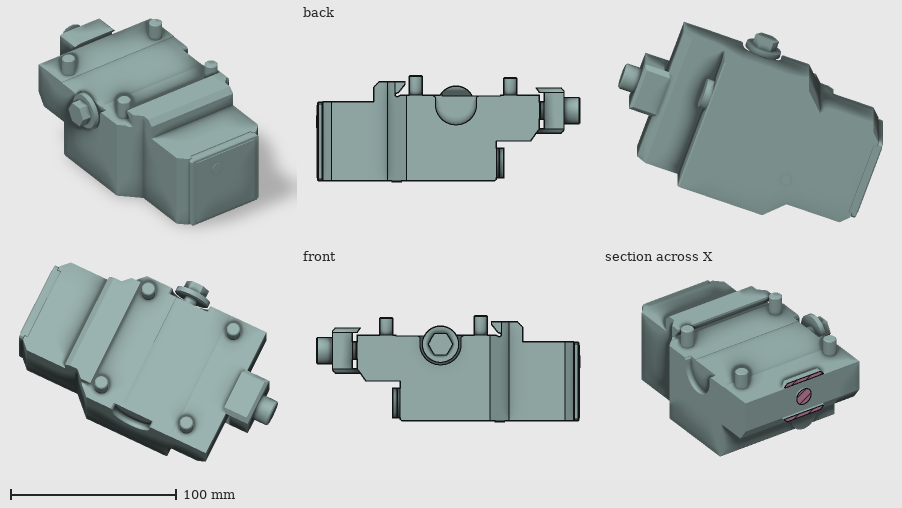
import cadquery as cq
import math


BODY_HALF_WIDTH = 42.0
BODY_TOP = 51.8
BODY_BOTTOM_CHAMFER = 1.0
NOSE_FACE_BOTTOM = 31.6
NOSE_BOTTOM = 24.0
NOSE_CHAMFER_LENGTH = 5.3
STEP_X = 26.0
RELIEF_START = 23.5
RELIEF_END = 58.6
RELIEF_DEPTH = 0.4

HOUSING_HALF_WIDTH = 30.5
HOUSING_START = 91.8
HOUSING_END = 130.9
HOUSING_TOP = 48.0
HOUSING_CORNER_CHAMFER = 5.1

HOOK_HALF_WIDTH = 35.0
HOOK_TIP_X = 81.1
HOOK_TIP_BOTTOM = 58.5
HOOK_SLOPE_END_X = 85.1
HOOK_SLOPE_END_Z = 53.4
HOOK_TOP = 60.0
HOOK_END = 100.2
HOOK_CHAMFER = 3.4
GROOVE_DIAMETER = 2.1
GROOVE_X = 86.0
GROOVE_Z = 52.05
GROOVE_RAMP_ANGLE = 25.0

PIN_DIAMETER = 8.0
PIN_CHAMFER = 0.6
PIN_Y = 32.5
PIN_TOPS = {17.6: 62.6, 74.75: 63.74}

POCKET_X = 50.4
POCKET_Z = 46.4
POCKET_DIAMETER = 25.0
POCKET_DEPTH = 4.0
POCKET_MOUTH_CHAMFER = 1.0
NECK_DIAMETER = 8.0
NECK_LENGTH = 3.0
NECK_WAIST_DIAMETER = 7.0
FLANGE_DIAMETER = 22.0
FLANGE_THICKNESS = 3.0
HEX_ACROSS_CORNERS = 15.0
HEX_HEIGHT = 6.0

CLAMP_LEFT = -15.0
CLAMP_INNER_X = -2.9
CLAMP_HALF_WIDTH = 15.0
CLAMP_LEFT_CHAMFER = 2.0
CLAMP_CORNER_CHAMFER = 2.7
LIP_HEIGHT = 2.9
LIP_OVERHANG = LIP_HEIGHT * NOSE_CHAMFER_LENGTH / (NOSE_FACE_BOTTOM - NOSE_BOTTOM)
CLAMP_Z = 42.5
CLAMP_HALF_INNER = CLAMP_Z - NOSE_FACE_BOTTOM
CLAMP_HALF_HEIGHT = CLAMP_HALF_INNER + LIP_HEIGHT
SCREW_HEAD_DIAMETER = 16.0
SCREW_HEAD_HEIGHT = 9.65
SCREW_HEAD_CHAMFER = 0.8
STUD_COLLAR_DIAMETER = 11.0
STUD_DIAMETER = 10.0
STUD_COLLAR_END = -0.8

PLUG_DIAMETER = 18.0
PLUG_LENGTH = 4.5
PLUG_Y = -16.0
PLUG_Z = 10.8
PLUG_GROOVE_OFFSET = 1.6
PLUG_GROOVE_WIDTH = 0.4
PLUG_GROOVE_DEPTH = 0.2
BUTTON_DIAMETER = 5.7
BUTTON_HEIGHT = 0.5
BUTTON_X = 86.3
BUTTON_Y = 15.8

COVER_TOP = 47.6
COVER_HALF_WIDTH = 25.0
COVER_CORNER_CHAMFER = 1.2
COVER_BACK = 131.3
COVER_FACE = 134.0
COVER_FACE_CHAMFER = 0.5
PANEL_HALF_WIDTH = 21.5
PANEL_INSET_Z = 2.1
PANEL_FACE = 134.5
TONGUE_HALF_WIDTH = 22.5
TONGUE_START = 129.1
TONGUE_GAP = 0.3
TONGUE_GAP_DEPTH = 1.0
KNOB_DIAMETER = 7.0
KNOB_FACE = 134.8
KNOB_Y = -6.8
KNOB_Z = 35.8


def box(x_range, y_range, z_range):
    """Box between the given pairs of limits."""
    sizes = [high - low for low, high in (x_range, y_range, z_range)]
    corner = (x_range[0], y_range[0], z_range[0])
    return cq.Workplane("XY").box(*sizes, centered=False).translate(corner)


def disc_x(diameter, start, end, y, z):
    """Cylinder along X between two X positions."""
    plane = cq.Workplane("YZ", origin=(start, y, z))
    return plane.circle(diameter / 2).extrude(end - start)


def side_profile(points, half_width):
    """Closed XZ outline extruded symmetrically about Y = 0."""
    return cq.Workplane("XZ").polyline(points).close().extrude(half_width, both=True)


def make_body():
    """Body, hook and housing within one common plan outline."""
    body = side_profile(
        [
            (0, BODY_TOP),
            (0, NOSE_FACE_BOTTOM),
            (NOSE_CHAMFER_LENGTH, NOSE_BOTTOM),
            (STEP_X, NOSE_BOTTOM),
            (STEP_X, BODY_BOTTOM_CHAMFER),
            (STEP_X + BODY_BOTTOM_CHAMFER, 0),
            (HOUSING_END, 0),
            (HOUSING_END, HOUSING_TOP),
            (HOOK_END, HOUSING_TOP),
            (HOOK_END, BODY_TOP),
        ],
        BODY_HALF_WIDTH,
    )
    hook = side_profile(
        [
            (HOOK_TIP_X, HOOK_TOP),
            (HOOK_TIP_X, HOOK_TIP_BOTTOM),
            (HOOK_SLOPE_END_X, HOOK_SLOPE_END_Z),
            (GROOVE_X, GROOVE_Z + GROOVE_DIAMETER / 2),
            (GROOVE_X, HOUSING_TOP),
            (HOOK_END, HOUSING_TOP),
            (HOOK_END, HOOK_TOP - HOOK_CHAMFER),
            (HOOK_END - HOOK_CHAMFER, HOOK_TOP),
        ],
        HOOK_HALF_WIDTH,
    )
    body = body.union(hook)

    flare_start = HOUSING_START - (BODY_HALF_WIDTH - HOUSING_HALF_WIDTH)
    corner_x = HOUSING_END - HOUSING_CORNER_CHAMFER
    end_half_width = HOUSING_HALF_WIDTH - HOUSING_CORNER_CHAMFER
    upper_edge = [
        (0, BODY_HALF_WIDTH),
        (flare_start, BODY_HALF_WIDTH),
        (HOUSING_START, HOUSING_HALF_WIDTH),
        (corner_x, HOUSING_HALF_WIDTH),
        (HOUSING_END, end_half_width),
    ]
    lower_edge = [(x, -y) for x, y in reversed(upper_edge)]
    plan = cq.Workplane("XY").polyline(upper_edge + lower_edge).close().extrude(HOOK_TOP)
    return body.intersect(plan)


def make_hook_groove():
    """Round-bottomed relief at the hook root with a ramp leading tangentially into it."""
    groove = (
        cq.Workplane("XZ")
        .center(GROOVE_X, GROOVE_Z)
        .circle(GROOVE_DIAMETER / 2)
        .extrude(BODY_HALF_WIDTH, both=True)
    )
    angle = math.radians(GROOVE_RAMP_ANGLE)
    tangent_x = GROOVE_X - GROOVE_DIAMETER / 2 * math.sin(angle)
    tangent_z = GROOVE_Z - GROOVE_DIAMETER / 2 * math.cos(angle)
    ramp_start = tangent_x - (BODY_TOP - tangent_z) / math.tan(angle)
    ramp = side_profile(
        [
            (ramp_start, BODY_TOP),
            (tangent_x, tangent_z),
            (GROOVE_X, BODY_TOP),
        ],
        BODY_HALF_WIDTH,
    )
    return groove.union(ramp)


def make_top_relief():
    """Shallow channel across the top face."""
    return box(
        (RELIEF_START, RELIEF_END),
        (-BODY_HALF_WIDTH, BODY_HALF_WIDTH),
        (BODY_TOP - RELIEF_DEPTH, BODY_TOP),
    )


def make_side_pocket(side):
    """U-shaped pocket in one side face, open at the top with a chamfered mouth."""
    radius = POCKET_DIAMETER / 2
    mouth = radius + POCKET_MOUTH_CHAMFER
    shoulder = BODY_TOP - RELIEF_DEPTH - POCKET_MOUTH_CHAMFER
    rim = BODY_TOP - RELIEF_DEPTH
    pocket = (
        cq.Workplane("XZ", origin=(POCKET_X, 0, 0))
        .moveTo(-radius, POCKET_Z)
        .threePointArc((0, POCKET_Z - radius), (radius, POCKET_Z))
        .lineTo(radius, shoulder)
        .lineTo(mouth, rim)
        .lineTo(mouth, BODY_TOP)
        .lineTo(-mouth, BODY_TOP)
        .lineTo(-mouth, rim)
        .lineTo(-radius, shoulder)
        .close()
        .extrude(POCKET_DEPTH / 2, both=True)
    )
    return pocket.translate((0, side * (BODY_HALF_WIDTH - POCKET_DEPTH / 2), 0))


def make_hex_screw():
    """Flanged hexagon screw in the -Y pocket, its neck flaring from a waist to the flange."""
    pocket_floor = POCKET_DEPTH - BODY_HALF_WIDTH
    waist_y = pocket_floor - NECK_LENGTH
    neck = (
        cq.Workplane("XY", origin=(POCKET_X, 0, POCKET_Z))
        .moveTo(0, pocket_floor)
        .lineTo(NECK_DIAMETER / 2, pocket_floor)
        .lineTo(NECK_DIAMETER / 2, waist_y)
        .lineTo(NECK_WAIST_DIAMETER / 2, waist_y)
        .lineTo(NECK_DIAMETER / 2, -BODY_HALF_WIDTH)
        .lineTo(0, -BODY_HALF_WIDTH)
        .close()
        .revolve(360, (0, 0, 0), (0, 1, 0))
    )
    head = (
        cq.Workplane("XZ", origin=(POCKET_X, -BODY_HALF_WIDTH, POCKET_Z))
        .circle(FLANGE_DIAMETER / 2)
        .extrude(FLANGE_THICKNESS)
        .faces("<Y")
        .workplane()
        .polygon(6, HEX_ACROSS_CORNERS)
        .extrude(HEX_HEIGHT)
    )
    return neck.union(head)


def make_pin(x, y, top):
    """Locating pin with a chamfered tip."""
    pin = cq.Workplane("XY", origin=(x, y, HOUSING_TOP)).circle(PIN_DIAMETER / 2)
    return pin.extrude(top - HOUSING_TOP).faces(">Z").chamfer(PIN_CHAMFER)


def make_clamp():
    """C-shaped clamp block with its screw head and stud."""
    chamfer_height = CLAMP_HALF_HEIGHT - CLAMP_LEFT_CHAMFER
    upper_outline = [
        (CLAMP_LEFT, chamfer_height),
        (CLAMP_LEFT + CLAMP_LEFT_CHAMFER, CLAMP_HALF_HEIGHT),
        (LIP_OVERHANG, CLAMP_HALF_HEIGHT),
        (0, CLAMP_HALF_INNER),
        (CLAMP_INNER_X, CLAMP_HALF_INNER),
    ]
    lower_outline = [(x, -z) for x, z in reversed(upper_outline)]
    block = side_profile(upper_outline + lower_outline, CLAMP_HALF_WIDTH)
    envelope = box(
        (CLAMP_LEFT, LIP_OVERHANG),
        (-CLAMP_HALF_WIDTH, CLAMP_HALF_WIDTH),
        (-CLAMP_HALF_HEIGHT, CLAMP_HALF_HEIGHT),
    )
    envelope = envelope.edges("|X").chamfer(CLAMP_CORNER_CHAMFER)
    block = block.intersect(envelope).translate((0, 0, CLAMP_Z))

    head = disc_x(SCREW_HEAD_DIAMETER, CLAMP_LEFT - SCREW_HEAD_HEIGHT, CLAMP_LEFT, 0, CLAMP_Z)
    head = head.faces("<X").chamfer(SCREW_HEAD_CHAMFER)
    collar = disc_x(STUD_COLLAR_DIAMETER, CLAMP_INNER_X, STUD_COLLAR_END, 0, CLAMP_Z)
    stud = disc_x(STUD_DIAMETER, STUD_COLLAR_END, 0, 0, CLAMP_Z)
    return block.union(head).union(collar).union(stud)


def make_plug():
    """Round plug on the step face with a thin groove around it."""
    start = STEP_X - PLUG_LENGTH
    groove_end = STEP_X - PLUG_GROOVE_OFFSET
    groove_start = groove_end - PLUG_GROOVE_WIDTH
    core_diameter = PLUG_DIAMETER - 2 * PLUG_GROOVE_DEPTH
    cap = disc_x(PLUG_DIAMETER, start, groove_start, PLUG_Y, PLUG_Z)
    core = disc_x(core_diameter, groove_start, groove_end, PLUG_Y, PLUG_Z)
    seat = disc_x(PLUG_DIAMETER, groove_end, STEP_X, PLUG_Y, PLUG_Z)
    return cap.union(core).union(seat)


def make_button():
    """Low round button under the base."""
    button = cq.Workplane("XY", origin=(BUTTON_X, BUTTON_Y, -BUTTON_HEIGHT))
    return button.circle(BUTTON_DIAMETER / 2).extrude(BUTTON_HEIGHT)


def make_tongue_recess():
    """Recess in the housing end that takes the cover tongue with a small gap."""
    half_width = TONGUE_HALF_WIDTH + TONGUE_GAP
    return box(
        (TONGUE_START - TONGUE_GAP, HOUSING_END),
        (-half_width, half_width),
        (0, HOUSING_TOP),
    )


def make_cover():
    """End cover with its tongue, raised panel, knob and the core joining it to the housing."""
    plate = box((COVER_BACK, COVER_FACE), (-COVER_HALF_WIDTH, COVER_HALF_WIDTH), (0, COVER_TOP))
    plate = plate.edges("|X").chamfer(COVER_CORNER_CHAMFER)
    plate = plate.faces(">X").chamfer(COVER_FACE_CHAMFER)
    tongue = box((TONGUE_START, COVER_BACK), (-TONGUE_HALF_WIDTH, TONGUE_HALF_WIDTH), (0, COVER_TOP))
    core_half_width = TONGUE_HALF_WIDTH + TONGUE_GAP
    core = box(
        (TONGUE_START - TONGUE_GAP, COVER_BACK),
        (-core_half_width, core_half_width),
        (TONGUE_GAP_DEPTH, COVER_TOP - TONGUE_GAP_DEPTH),
    )
    panel = box(
        (COVER_FACE, PANEL_FACE),
        (-PANEL_HALF_WIDTH, PANEL_HALF_WIDTH),
        (PANEL_INSET_Z, COVER_TOP - PANEL_INSET_Z),
    )
    knob = disc_x(KNOB_DIAMETER, PANEL_FACE, KNOB_FACE, KNOB_Y, KNOB_Z)
    return plate.union(tongue).union(core).union(panel).union(knob)


part = make_body().cut(make_hook_groove()).cut(make_top_relief()).cut(make_tongue_recess())
for side in (-1, 1):
    part = part.cut(make_side_pocket(side))
    for pin_x, pin_top in PIN_TOPS.items():
        part = part.union(make_pin(pin_x, side * PIN_Y, pin_top))
for feature in (make_hex_screw(), make_clamp(), make_plug(), make_button(), make_cover()):
    part = part.union(feature)

result = part